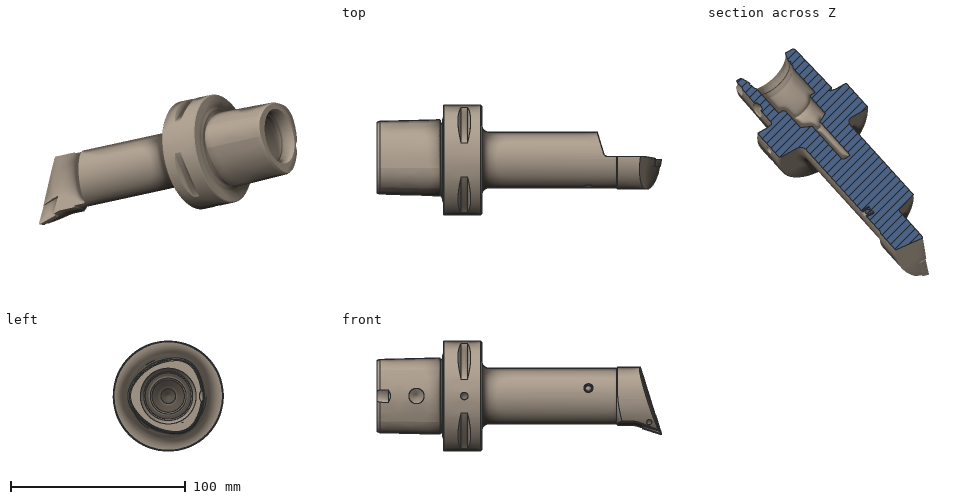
import cadquery as cq
import math


taper_length = 38.0
taper_angle = math.degrees(math.atan(1 / 40))
lobe_offset = 9.5
lobe_radius = 13.7
flank_radius = lobe_radius + lobe_offset * math.sqrt(3)
relief_length = 1.6
taper_edge_round = 0.8
end_chamfer_length = 1.6
end_chamfer_height = 0.7
neck_fillet = 1.1
neck_radius = 20.7
neck_step_radius = 22.5
neck_step_height = 0.5
neck_foot_radius = 24.3

flange_radius = 31.54
flange_length = 22.2
flange_back_chamfer = 0.5
flange_front_chamfer = 0.8
grip_center_x = 12.0
grip_floor_distance = 28.0
grip_floor_width = 3.6
grip_flare_angle = 28

drill_tip_angle = 118
flange_hole_radius = 2.1
flange_hole_depth = 2.5
taper_hole_x = -15.3
taper_hole_radius = 4.4
taper_hole_bottom_y = -18.9
notch_radius = 4.4
notch_depth = 6.5
notch_axis_y = -22.2

bore_mouth_radius = 16.0
bore_mouth_chamfer_height = 0.5
bore_mouth_chamfer_length = 1.0
bore_cone_length = 5.0
bore_cone_end_radius = 14.0
bore_radius = 13.2
bore_depth = 33.1
clamp_groove_radius = 14.7
clamp_groove_start = 6.5
clamp_groove_width = 1.0
bore_step_start = 10.1
bore_step_length = 1.5
thread_hole_radius = 9.3
thread_hole_chamfer = 1.0
thread_hole_depth = 48.9
coolant_hole_radius = 4.2
coolant_hole_depth = 81.5

bar_radius = 16.0
bar_fillet = 3.9
chip_face_y = 2.1
scoop_top_x = 88.2
scoop_lean_angle = 17
scoop_fillet = 2.1

head_start_x = 99.3
head_radius = 16.6
head_cone_angle = 45
strip_width = 2.0
relief_mid = (-13.5, -12.9)
relief_end = (0.3, -22.5)
head_bottom_z = -17.0
nose_bend_radius = 8.2
nose_clearance = 10
end_clearance = 6
ramp_start_x = 114.8

tip_x = 125.0
tip_z = -22.0
lead_angle = 17.5
insert_angle = 55
insert_edge = 11.5
insert_thickness = 4.0
insert_top_y = 0.3
insert_clearance = 7
insert_nose_radius = 0.4
insert_overhang = 0.3

screw_radius = 1.5
screw_head_radius = 2.1
screw_end_y = -8.2

plug_x = 83.1
plug_angle = 17
plug_radius = 2.6
plug_depth = 4.9
plug_recess = 0.3
ball_radius = 2.0
ball_sink = 0.3

clear = 48.9


def polar(radius, degrees, center=(0, 0)):
    angle = math.radians(degrees)
    return (center[0] + radius * math.cos(angle), center[1] + radius * math.sin(angle))


def revolve_about_x(points):
    return cq.Workplane("XZ").polyline(points).close().revolve(360, (0, 0, 0), (1, 0, 0))


def drill(radius, depth):
    """A drill shape along +X from x = 0 with a pointed end."""
    tip = radius / math.tan(math.radians(drill_tip_angle / 2))
    return revolve_about_x([(0, 0), (0, radius), (depth, radius), (depth + tip, 0)])


def cross_drill(x, radius, bottom_y):
    """A pointed hole along +Y that enters from outside the flange."""
    drilled = drill(radius, bottom_y + clear).rotate((0, 0, 0), (0, 0, 1), 90)
    return drilled.translate((x, -clear, 0))



def lobed_outline(plane):
    """Six tangent arcs: three tight lobes joined by three flatter flanks."""
    outline = plane.moveTo(*polar(lobe_radius, -30, (lobe_offset, 0)))
    for lobe_angle in (0, 120, 240):
        lobe_center = polar(lobe_offset, lobe_angle)
        flank_angle = lobe_angle + 60
        flank_center = polar(-lobe_offset, flank_angle)
        outline = outline.threePointArc(
            polar(lobe_radius, lobe_angle, lobe_center),
            polar(lobe_radius, lobe_angle + 30, lobe_center),
        )
        outline = outline.threePointArc(
            polar(flank_radius, flank_angle, flank_center),
            polar(flank_radius, flank_angle + 30, flank_center),
        )
    return outline.close()


def make_taper():
    back_plane = cq.Workplane(cq.Plane((-relief_length, 0, 0), xDir=(0, 1, 0), normal=(-1, 0, 0)))
    taper = lobed_outline(back_plane).extrude(taper_length - relief_length, taper=taper_angle)
    taper = taper.faces(">X").edges().fillet(taper_edge_round)
    return taper.faces("<X").chamfer(end_chamfer_length, end_chamfer_height)


def make_neck():
    """A round neck that flares into a low step on the flange face."""
    fillet_center = (-neck_step_height - neck_fillet, neck_radius + neck_fillet)
    return (
        cq.Workplane("XZ").moveTo(fillet_center[0], 0).lineTo(fillet_center[0], neck_radius)
        .threePointArc(polar(neck_fillet, -45, fillet_center), (-neck_step_height, fillet_center[1]))
        .lineTo(-neck_step_height, neck_step_radius).lineTo(0, neck_foot_radius).lineTo(0, 0).close()
        .revolve(360, (0, 0, 0), (1, 0, 0))
    )



def grip_slot(angle):
    """A flat-bottomed slot with flared sides, cut straight across the flange."""
    height = flange_radius - grip_floor_distance
    half_floor = grip_floor_width / 2
    half_top = half_floor + height * math.tan(math.radians(grip_flare_angle))
    top_z = grip_floor_distance + height
    slot = (
        cq.Workplane("XZ")
        .polyline([
            (grip_center_x - half_floor, grip_floor_distance),
            (grip_center_x + half_floor, grip_floor_distance),
            (grip_center_x + half_top, top_z),
            (grip_center_x - half_top, top_z),
        ]).close().extrude(flange_radius, both=True)
    )
    return slot.rotate((0, 0, 0), (1, 0, 0), angle)


def make_flange():
    flange = revolve_about_x([
        (0, 0), (0, flange_radius), (flange_length, flange_radius), (flange_length, 0),
    ])
    flange = flange.faces("<X").chamfer(flange_back_chamfer)
    flange = flange.faces(">X").chamfer(flange_front_chamfer)
    for angle in (45, 135, 225, 315):
        flange = flange.cut(grip_slot(angle))
    return flange


def make_bar():
    fillet_center = (flange_length + bar_fillet, bar_radius + bar_fillet)
    bar = (
        cq.Workplane("XZ").moveTo(flange_length, 0).lineTo(flange_length, fillet_center[1])
        .threePointArc(polar(bar_fillet, 225, fillet_center), (fillet_center[0], bar_radius))
        .lineTo(head_start_x, bar_radius).lineTo(head_start_x, 0).close()
        .revolve(360, (0, 0, 0), (1, 0, 0))
    )
    return bar.cut(make_scoop())


def make_scoop():
    """The space above the chip face, closed by a leaning wall with a rounded foot."""
    lean = math.tan(math.radians(scoop_lean_angle))
    foot_x = scoop_top_x + (bar_radius - chip_face_y) * lean
    over_x = scoop_top_x - (clear - bar_radius) * lean
    scoop = (
        cq.Workplane("XY")
        .polyline([(over_x, clear), (foot_x, chip_face_y), (tip_x, chip_face_y), (tip_x, clear)])
        .close().extrude(clear, both=True)
    )
    return scoop.edges(cq.selectors.NearestToPointSelector((foot_x, chip_face_y, 0))).fillet(scoop_fillet)



insert_bottom_y = insert_top_y - insert_thickness
nose_center = (tip_x - insert_nose_radius, tip_z + insert_nose_radius)
apex = polar(insert_nose_radius / math.sin(math.radians(insert_angle / 2)), -45, nose_center)
end_edge_angle = 90 + lead_angle
bottom_edge_angle = end_edge_angle + insert_angle
insert_end_corner = polar(insert_edge, end_edge_angle, apex)
insert_bottom_corner = polar(insert_edge, bottom_edge_angle, apex)
insert_far_corner = polar(insert_edge, bottom_edge_angle, insert_end_corner)
screw_place = ((apex[0] + insert_far_corner[0]) / 2, (apex[1] + insert_far_corner[1]) / 2)


def insert_outline():
    corners = [apex, insert_end_corner, insert_far_corner, insert_bottom_corner]
    return cq.Workplane("XZ", origin=(0, insert_top_y, 0)).polyline(corners).close()


def insert_blank():
    blank = insert_outline().extrude(insert_thickness, taper=insert_clearance)
    nose_edge = cq.selectors.NearestToPointSelector((apex[0], insert_bottom_y, apex[1]))
    return blank.edges(nose_edge).fillet(insert_nose_radius)


def rod_along_y(radius, start_y, end_y):
    plane = cq.Workplane("XZ", origin=(screw_place[0], start_y, screw_place[1]))
    return plane.circle(radius).extrude(start_y - end_y)


def make_insert():
    return insert_blank().cut(rod_along_y(screw_head_radius, insert_top_y, insert_bottom_y))


def make_screw():
    head = rod_along_y(screw_head_radius, insert_top_y, insert_bottom_y)
    return head.union(rod_along_y(screw_radius, insert_bottom_y, screw_end_y))



def head_section():
    """Round above the axis, a narrow flat strip, then a wider relief arc down to the nose."""
    top_angle = math.degrees(math.acos(chip_face_y / head_radius))
    side_y = -head_radius
    return (
        cq.Workplane("YZ", origin=(head_start_x, 0, 0))
        .moveTo(*polar(head_radius, top_angle))
        .threePointArc(polar(head_radius, 135), (side_y, 0))
        .lineTo(side_y, -strip_width)
        .threePointArc(relief_mid, relief_end)
        .lineTo(chip_face_y, relief_end[1]).close()
        .extrude(tip_x - head_start_x)
    )


def nose_profile():
    """The underside of the head: level, then sloping down to the tip, with clearance below."""
    slope = math.tan(math.radians(lead_angle))
    edge_z = tip_z + insert_overhang
    bend_x = tip_x - (head_bottom_z - edge_z) / slope
    end_x = tip_x + clear
    end_z = edge_z - clear * slope
    start_x = head_start_x - clear
    bend_start = (bend_x - nose_bend_radius * math.tan(math.radians(lead_angle / 2)), head_bottom_z)
    bend_center = (bend_start[0], head_bottom_z - nose_bend_radius)
    return (
        cq.Workplane("XZ", origin=(0, chip_face_y, 0))
        .moveTo(start_x, clear).lineTo(start_x, head_bottom_z).lineTo(*bend_start)
        .threePointArc(
            polar(nose_bend_radius, 90 - lead_angle / 2, bend_center),
            polar(nose_bend_radius, 90 - lead_angle, bend_center),
        )
        .lineTo(end_x, end_z).lineTo(end_x, clear).close()
        .extrude(2 * head_radius, taper=nose_clearance)
    )


def end_cutter():
    """Everything beyond the slanted end face, which leans back for clearance."""
    lead = math.radians(lead_angle)
    normal = cq.Vector(math.cos(lead), -math.tan(math.radians(end_clearance)), math.sin(lead))
    origin = (apex[0] - insert_overhang, 0, apex[1])
    return cq.Workplane(cq.Plane(origin, normal=normal)).rect(3 * clear, 3 * clear).extrude(clear)


def ramp_cutter():
    """Lowers the chip face evenly to the height of the tip."""
    return (
        cq.Workplane("XY")
        .polyline([(ramp_start_x, chip_face_y), (tip_x, insert_top_y), (tip_x, chip_face_y)])
        .close().extrude(clear, both=True)
    )


def make_head():
    cone_rise = clear * math.tan(math.radians(head_cone_angle))
    start_cone = revolve_about_x([
        (head_start_x, 0), (head_start_x, bar_radius),
        (head_start_x + clear, bar_radius + cone_rise), (head_start_x + clear, 0),
    ])
    head = head_section().intersect(nose_profile()).intersect(start_cone)
    return head.cut(end_cutter()).cut(ramp_cutter())


def insert_pocket():
    return insert_blank().union(insert_outline().extrude(insert_top_y - chip_face_y))



def place_plug(shape):
    """Moves a shape built along +X to the plug's radial place, facing out of the bar."""
    turned = shape.rotate((0, 0, 0), (0, 0, 1), -90)
    return turned.rotate((0, 0, 0), (1, 0, 0), -plug_angle).translate((plug_x, 0, 0))


plug_face = bar_radius - plug_recess
plug_bottom = bar_radius - plug_depth


def make_ball():
    center = plug_face - ball_sink - ball_radius
    return place_plug(cq.Workplane("XY").sphere(ball_radius).translate((center, 0, 0)))


def make_sleeve():
    plane = cq.Workplane("YZ", origin=(plug_bottom, 0, 0))
    return place_plug(plane.circle(plug_radius).circle(ball_radius).extrude(plug_face - plug_bottom))


def plug_hole():
    plane = cq.Workplane("YZ", origin=(plug_bottom, 0, 0))
    return place_plug(plane.circle(plug_radius).extrude(clear))



def make_bore():
    cone_start_radius = bore_mouth_radius - bore_mouth_chamfer_height
    cone_end = bore_mouth_chamfer_length + bore_cone_length
    groove_end = clamp_groove_start + clamp_groove_width
    thread_mouth_radius = thread_hole_radius + thread_hole_chamfer
    bore = revolve_about_x([
        (0, 0), (0, bore_mouth_radius), (bore_mouth_chamfer_length, cone_start_radius),
        (cone_end, bore_cone_end_radius),
        (clamp_groove_start, bore_cone_end_radius), (clamp_groove_start, clamp_groove_radius),
        (groove_end, clamp_groove_radius), (groove_end, bore_cone_end_radius),
        (bore_step_start, bore_cone_end_radius), (bore_step_start + bore_step_length, bore_radius),
        (bore_depth, bore_radius), (bore_depth, thread_mouth_radius),
        (bore_depth + thread_hole_chamfer, thread_hole_radius),
        (bore_depth + thread_hole_chamfer, 0),
    ])
    bore = bore.union(drill(thread_hole_radius, thread_hole_depth))
    bore = bore.union(drill(coolant_hole_radius, coolant_hole_depth))
    return bore.translate((-taper_length, 0, 0))


def make_holder():
    holder = make_flange().union(make_neck()).union(make_taper())
    holder = holder.union(make_bar()).union(make_head())
    holder = holder.cut(make_bore())
    holder = holder.cut(cross_drill(taper_hole_x, taper_hole_radius, taper_hole_bottom_y))
    holder = holder.cut(cross_drill(grip_center_x, flange_hole_radius, flange_hole_depth - flange_radius))
    holder = holder.cut(drill(notch_radius, notch_depth).translate((-taper_length, notch_axis_y, 0)))
    holder = holder.cut(insert_pocket())
    holder = holder.cut(rod_along_y(screw_radius, 0, -clear))
    return holder.cut(plug_hole())


holder = make_holder()
insert = make_insert()
screw = make_screw()
sleeve = make_sleeve()
ball = make_ball()

result = cq.Compound.makeCompound([holder.val(), insert.val(), screw.val(), sleeve.val(), ball.val()])